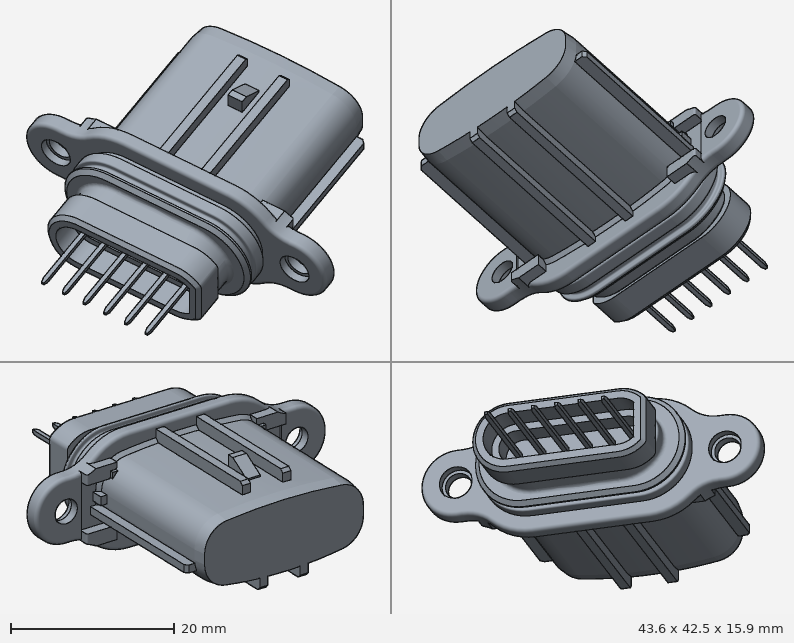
import cadquery as cq
import math


plane_tolerance = 0.005

length = 43.6
flange_height = 15.9
flange_half_height = flange_height / 2
flange_arc_x = 7.5
flange_thickness = 2.05
ear_thickness = 2.35
ear_radius = 4.5
ear_x = length / 2 - ear_radius
ear_blend_radius = 5.3
hole_radius = 1.65
counterbore_radius = 2.1
counterbore_depth = 1.1
flange_edge_radius = 0.52

root_y = flange_thickness / 2

post_outer_x = 15.0
post_inner_x = 10.45
post_inner_z = 3.3
post_outer_z = 5.27
post_top = 3.5
post_edge_fillet = 0.25
tip_width = 1.05
tip_top = 4.0
bump_outer_x = 13.08
bump_bottom_z = 0.15
bump_height = 1.2
bump_top = 3.7

shell_half_width = 12.15
shell_corner_radius = 3.92
shell_side_top = 1.3
shell_side_bottom = -0.15
shell_top = 5.65
shell_bottom = -4.65
shell_end = 24.05
shell_taper_start = 22.3
shell_end_taper = 8.0
shell_base_flare = 0.52

rib_width = 1.2
rib_spacing = 6.05
rib_x = rib_spacing / 2
rib_chamfer = 0.45
top_rib_end = 20.35
top_rib_z = 7.3
bottom_rib_z = -6.0
side_rib_x = 13.45
side_rib_bottom = -1.6
side_rib_width = 1.1
latch_width = 2.05
latch_ramp_start = 17.55
latch_ramp_z = 5.9
latch_ramp_end = 14.65
latch_back = 13.7
latch_top = 7.67

neck_arc_x = 7.1
neck_radius = 5.6
ring_radius = 6.35
ring_start = -0.95
ring_end = -2.57
ring_fillet = 0.2
lip_start = -3.6
lip_crest = -4.0
neck_end = -4.55
lip_end_radius = 5.75

collar_half_width = 10.95
collar_start_half_height = 4.8
collar_start_flat_x = 5.35
collar_start_side_radius = 3.9
collar_end_half_height = 4.27
collar_end_flat_x = 5.75
collar_end_side_radius = 3.35
collar_end = -6.9
collar_root_fillet = 0.5
collar_end_fillet = 0.3

housing_height = 9.2
housing_radius = housing_height / 2
housing_end = -11.2
housing_flat_x = 10.6
housing_corner_fillet = 0.87
housing_chamfer = 0.52
cavity_radius = 3.1
cavity_flat_x = 9.15
cavity_ledge = -7.7
well_radius = 2.2
well_floor = -4.8

pin_count = 6
pin_row_length = 15.0
pin_pitch = pin_row_length / (pin_count - 1)
pin_width = 0.6
pin_end = -18.45
pin_tip_length = 0.65
pin_tip_chamfer = 0.15


def section_plane(y):
    """XZ plane at the given Y; its normal points to -Y."""
    return cq.Workplane("XZ", origin=(0, y, 0))


def oval(half_straight, radius, y_from, y_to):
    """Prism with a stadium section lying along X."""
    width = 2 * (half_straight + radius)
    return section_plane(y_from).slot2D(width, 2 * radius).extrude(y_from - y_to)


def oval_loft(half_from, radius_from, y_from, half_to, radius_to, y_to):
    """Solid changing from one stadium section to another along Y."""
    return (
        section_plane(y_from)
        .slot2D(2 * (half_from + radius_from), 2 * radius_from)
        .workplane(offset=y_from - y_to)
        .slot2D(2 * (half_to + radius_to), 2 * radius_to)
        .loft(ruled=True)
    )


def block(x_range, y_range, z_range):
    """Axis-aligned box given by its limits."""
    limits = (x_range, y_range, z_range)
    sizes = [high - low for low, high in limits]
    return cq.Workplane("XY").box(*sizes, centered=False).translate([low for low, _ in limits])


def edges_at(y, half_width, half_height):
    """Selector of the edges that lie in the plane at the given Y, inside a centred rectangle."""
    low = (-half_width, y - plane_tolerance, -half_height)
    high = (half_width, y + plane_tolerance, half_height)
    return cq.selectors.BoxSelector(low, high, boundingbox=True)


def both_sides(solid):
    """The solid together with its mirror image across the YZ plane."""
    return solid.union(solid.mirror("YZ"))


def flange_outline(y_from, y_to):
    """Stadium body with two round ears, joined by concave tangent arcs."""
    blend_z = ear_radius + ear_blend_radius
    centre_distance = flange_half_height + ear_blend_radius
    blend_x = flange_arc_x + math.sqrt(centre_distance**2 - blend_z**2)
    toward_blend = math.atan2(blend_z, blend_x - flange_arc_x)

    join_x = flange_arc_x + flange_half_height * math.cos(toward_blend)
    join_z = flange_half_height * math.sin(toward_blend)
    mid_angle = (toward_blend + math.pi / 2) / 2
    body_mid_x = flange_arc_x + flange_half_height * math.cos(mid_angle)
    body_mid_z = flange_half_height * math.sin(mid_angle)
    blend_mid_x = blend_x - ear_blend_radius * math.cos(mid_angle)
    blend_mid_z = blend_z - ear_blend_radius * math.sin(mid_angle)

    return (
        section_plane(y_from)
        .moveTo(-flange_arc_x, flange_half_height)
        .lineTo(flange_arc_x, flange_half_height)
        .threePointArc((body_mid_x, body_mid_z), (join_x, join_z))
        .threePointArc((blend_mid_x, blend_mid_z), (blend_x, ear_radius))
        .lineTo(ear_x, ear_radius)
        .threePointArc((length / 2, 0), (ear_x, -ear_radius))
        .lineTo(blend_x, -ear_radius)
        .threePointArc((blend_mid_x, -blend_mid_z), (join_x, -join_z))
        .threePointArc((body_mid_x, -body_mid_z), (flange_arc_x, -flange_half_height))
        .lineTo(-flange_arc_x, -flange_half_height)
        .threePointArc((-body_mid_x, -body_mid_z), (-join_x, -join_z))
        .threePointArc((-blend_mid_x, -blend_mid_z), (-blend_x, -ear_radius))
        .lineTo(-ear_x, -ear_radius)
        .threePointArc((-length / 2, 0), (-ear_x, ear_radius))
        .lineTo(-blend_x, ear_radius)
        .threePointArc((-blend_mid_x, blend_mid_z), (-join_x, join_z))
        .threePointArc((-body_mid_x, body_mid_z), (-flange_arc_x, flange_half_height))
        .close()
        .extrude(y_from - y_to)
    )


def make_flange():
    body = flange_outline(0, flange_thickness).faces("<Y or >Y").edges().fillet(flange_edge_radius)
    ears = flange_outline(0, ear_thickness).faces("<Y or >Y").edges().fillet(flange_edge_radius)
    ears = ears.intersect(
        both_sides(block((post_outer_x, length), (0, post_top), (-length, length)))
    )
    return body.union(ears)


def make_posts():
    """Corner posts that follow the flange outline, with their tips and the side bumps."""
    upper = (post_inner_z, post_outer_z)
    lower = (-post_outer_z, -post_inner_z)
    tip_outer_x = post_inner_x + tip_width
    tip_outer_z = post_inner_z + tip_width
    raised = block((post_inner_x, post_outer_x), (root_y, post_top), upper)
    raised = raised.union(block((post_inner_x, post_outer_x), (root_y, post_top), lower))
    raised = raised.intersect(flange_outline(root_y, post_top))
    raised = raised.faces(">X").edges(">Y").fillet(post_edge_fillet)
    tip = block((post_inner_x, tip_outer_x), (root_y, tip_top), (post_inner_z, tip_outer_z))
    bump_z = (bump_bottom_z, bump_bottom_z + bump_height)
    bump = block((post_inner_x, bump_outer_x), (root_y, bump_top), bump_z)
    return both_sides(raised.union(tip).union(bump))


def shell_section(y):
    """Rounded rectangle with a slightly crowned top and bottom, tangent to its corner arcs."""
    corner_x = shell_half_width - shell_corner_radius

    def crown(rise, direction, centre_z):
        crown_radius = (corner_x**2 + rise**2) / (2 * rise) + shell_corner_radius
        tilt = math.asin(corner_x / (crown_radius - shell_corner_radius))
        mid_angle = (math.pi / 2 - tilt) / 2
        tangent = (
            corner_x + shell_corner_radius * math.sin(tilt),
            centre_z + direction * shell_corner_radius * math.cos(tilt),
        )
        middle = (
            corner_x + shell_corner_radius * math.cos(mid_angle),
            centre_z + direction * shell_corner_radius * math.sin(mid_angle),
        )
        return tangent, middle

    top_rise = shell_top - shell_side_top - shell_corner_radius
    bottom_rise = shell_side_bottom - shell_bottom - shell_corner_radius
    top_end, top_middle = crown(top_rise, 1, shell_side_top)
    bottom_end, bottom_middle = crown(bottom_rise, -1, shell_side_bottom)
    return (
        section_plane(y)
        .moveTo(-top_end[0], top_end[1])
        .threePointArc((0, shell_top), top_end)
        .threePointArc(top_middle, (shell_half_width, shell_side_top))
        .lineTo(shell_half_width, shell_side_bottom)
        .threePointArc(bottom_middle, bottom_end)
        .threePointArc((0, shell_bottom), (-bottom_end[0], bottom_end[1]))
        .threePointArc((-bottom_middle[0], bottom_middle[1]), (-shell_half_width, shell_side_bottom))
        .lineTo(-shell_half_width, shell_side_top)
        .threePointArc((-top_middle[0], top_middle[1]), (-top_end[0], top_end[1]))
        .close()
    )


def make_shell():
    straight = shell_section(root_y).extrude(root_y - shell_taper_start)
    end_length = shell_end - shell_taper_start
    end = shell_section(shell_taper_start).extrude(-end_length, taper=shell_end_taper)
    flare = (
        shell_section(flange_thickness)
        .offset2D(shell_base_flare)
        .extrude(-shell_base_flare, taper=45)
    )
    return straight.union(end).union(flare)


def make_ribs():
    """Guide ribs on the top, bottom and sides of the shell."""
    rib_x_range = (rib_x - rib_width / 2, rib_x + rib_width / 2)
    side_z_range = (side_rib_bottom, side_rib_bottom + side_rib_width)
    top_rib = block(rib_x_range, (root_y, top_rib_end), (0, top_rib_z))
    top_rib = top_rib.edges(">Y and >Z").chamfer(rib_chamfer)
    bottom_rib = block(rib_x_range, (root_y, shell_end), (bottom_rib_z, 0))
    bottom_rib = bottom_rib.edges(">Y and <Z").chamfer(rib_chamfer)
    side_rib = block((0, side_rib_x), (root_y, shell_taper_start), side_z_range)
    side_rib = side_rib.edges(">Y and >X").chamfer(rib_chamfer)
    return both_sides(top_rib.union(bottom_rib).union(side_rib))


def make_latch():
    return (
        cq.Workplane("YZ", origin=(-latch_width / 2, 0, 0))
        .moveTo(latch_back, 0)
        .lineTo(latch_back, latch_top)
        .lineTo(latch_ramp_end, latch_top)
        .lineTo(latch_ramp_start, latch_ramp_z)
        .lineTo(latch_ramp_start, 0)
        .close()
        .extrude(latch_width)
    )


def make_neck():
    neck = oval(neck_arc_x, neck_radius, root_y, neck_end)
    ring = oval(neck_arc_x, ring_radius, ring_start, ring_end)
    lip = oval(neck_arc_x, ring_radius, lip_start, lip_crest)
    lip_slope = oval_loft(
        neck_arc_x, ring_radius, lip_crest, neck_arc_x, lip_end_radius, neck_end
    )
    neck = neck.union(ring).union(lip).union(lip_slope)
    for y in (ring_start, ring_end, lip_start):
        neck = neck.edges(edges_at(y, length, length)).fillet(ring_fillet)
    return neck


def collar_outline(plane, half_height, flat_x, side_radius):
    """Flat top and bottom, round ends, and wider arcs that join them tangentially."""
    side_x = collar_half_width - side_radius
    offset = side_x - flat_x
    corner_radius = (offset**2 + half_height**2 - side_radius**2) / (2 * (half_height - side_radius))
    side_angle = math.atan2(corner_radius - half_height, offset)
    x = side_x + side_radius * math.cos(side_angle)
    z = side_radius * math.sin(side_angle)
    return (
        plane.moveTo(-flat_x, half_height)
        .lineTo(flat_x, half_height)
        .tangentArcPoint((x, z), relative=False)
        .threePointArc((collar_half_width, 0), (x, -z))
        .tangentArcPoint((flat_x, -half_height), relative=False)
        .lineTo(-flat_x, -half_height)
        .tangentArcPoint((-x, -z), relative=False)
        .threePointArc((-collar_half_width, 0), (-x, z))
        .tangentArcPoint((-flat_x, half_height), relative=False)
        .close()
    )


def make_collar():
    start_plane = section_plane(neck_end)
    start = collar_outline(
        start_plane, collar_start_half_height, collar_start_flat_x, collar_start_side_radius
    )
    end_plane = start.workplane(offset=neck_end - collar_end)
    sections = collar_outline(
        end_plane, collar_end_half_height, collar_end_flat_x, collar_end_side_radius
    )
    return sections.loft(ruled=True).faces("<Y").edges().fillet(collar_end_fillet)


def make_neck_with_collar():
    """Neck and collar, with a fillet where the collar leaves the end face of the neck."""
    root_edges = edges_at(neck_end, neck_arc_x + neck_radius, neck_radius)
    joined = make_neck().union(make_collar())
    return joined.edges(root_edges).fillet(collar_root_fillet)


def make_housing():
    housing = oval(neck_arc_x, housing_radius, collar_end, housing_end)
    cut_off = block((housing_flat_x, length), (housing_end, collar_end), (-length, length))
    housing = housing.cut(cut_off).edges("|Y and >X").fillet(housing_corner_fillet)
    return housing.faces("<Y").edges().chamfer(housing_chamfer)


def make_cavity():
    """Stepped opening around the pins, with one flat end."""
    mouth = oval(neck_arc_x, cavity_radius, cavity_ledge, housing_end)
    well = oval(neck_arc_x, well_radius, well_floor, cavity_ledge)
    cut_off = block((cavity_flat_x, length), (housing_end, well_floor), (-length, length))
    return mouth.union(well).cut(cut_off)


def make_pins():
    first_x = -pin_row_length / 2
    pins = cq.Workplane("XZ")
    for index in range(pin_count):
        pin = section_plane(0).rect(pin_width, pin_width).extrude(-pin_end)
        pin = pin.faces("<Y").chamfer(pin_tip_length, pin_tip_chamfer)
        pins = pins.add(pin.translate((first_x + index * pin_pitch, 0, 0)))
    return pins.combine()


def make_ear_holes():
    hole = section_plane(ear_thickness).center(ear_x, 0).circle(hole_radius).extrude(ear_thickness)
    counterbore = (
        section_plane(counterbore_depth)
        .center(ear_x, 0)
        .circle(counterbore_radius)
        .extrude(counterbore_depth)
    )
    return both_sides(hole.union(counterbore))


result = (
    make_flange()
    .union(make_posts())
    .union(make_shell())
    .union(make_ribs())
    .union(make_latch())
    .union(make_neck_with_collar())
    .union(make_housing())
    .cut(make_cavity())
    .union(make_pins())
    .cut(make_ear_holes())
)